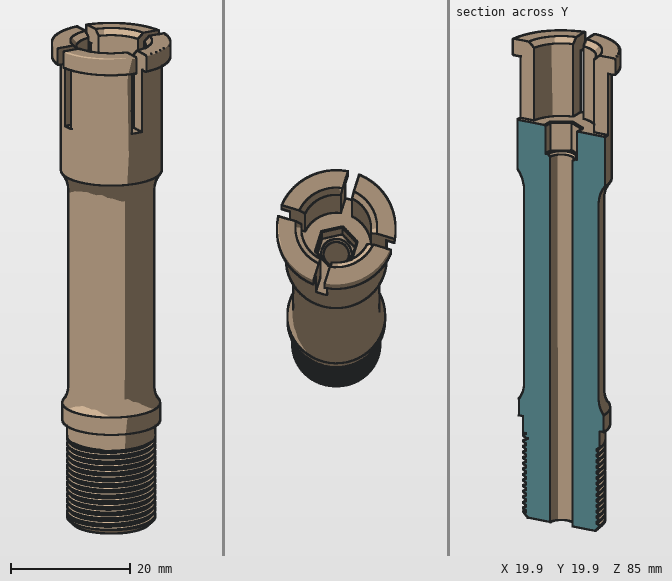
import cadquery as cq
import math

total_length = 85.0
end_chamfer = 0.9
thread_bottom = end_chamfer
thread_top = 15.05
collar_bottom = 18.0
collar_top = 21.1
lower_blend_top = 23.8
upper_blend_bottom = 58.8
barrel_bottom = 62.1
head_thickness = 3.0
head_bottom = total_length - head_thickness

thread_diameter = 14.9
collar_diameter = 16.5
shaft_diameter = 14.5
barrel_diameter = 17.0
head_diameter = 20.0
head_edge_radius = 0.3

thread_turns = 15
thread_pitch = thread_top / thread_turns
core_diameter = 13.8
groove_mouth = thread_pitch * 7 / 8
groove_root = thread_pitch / 4
groove_start_angle = -45.0

bore_diameter = 11.7
bore_mouth_diameter = 13.8
bore_taper_depth = 0.9
bore_depth = 13.9
slot_width = 1.95

socket_across_flats = 6.0
socket_chamfer = 0.2
socket_depth = 5.1
hole_diameter = 4.25
countersink_diameter = 5.1


def tangent_blend_midpoint(shaft_radius, outer_radius, tangent_z, outer_z):
    """Middle (r, z) of a concave arc tangent to the shaft and ending at (outer_radius, outer_z)."""
    rise = outer_radius - shaft_radius
    run = outer_z - tangent_z
    arc_radius = (rise**2 + run**2) / (2 * rise)
    half_angle = math.asin(run / arc_radius) / 2
    return (
        shaft_radius + arc_radius * (1 - math.cos(half_angle)),
        tangent_z + arc_radius * math.sin(half_angle),
    )


def make_body():
    """Solid of revolution: threaded end, collar, shaft, barrel and head."""
    thread_radius = thread_diameter / 2
    collar_radius = collar_diameter / 2
    shaft_radius = shaft_diameter / 2
    barrel_radius = barrel_diameter / 2
    head_radius = head_diameter / 2
    lower_middle = tangent_blend_midpoint(shaft_radius, collar_radius, lower_blend_top, collar_top)
    upper_middle = tangent_blend_midpoint(shaft_radius, barrel_radius, upper_blend_bottom, barrel_bottom)
    return (
        cq.Workplane("XZ")
        .moveTo(0, 0)
        .lineTo(thread_radius - end_chamfer, 0)
        .lineTo(thread_radius, end_chamfer)
        .lineTo(thread_radius, collar_bottom)
        .lineTo(collar_radius, collar_bottom)
        .lineTo(collar_radius, collar_top)
        .threePointArc(lower_middle, (shaft_radius, lower_blend_top))
        .lineTo(shaft_radius, upper_blend_bottom)
        .threePointArc(upper_middle, (barrel_radius, barrel_bottom))
        .lineTo(barrel_radius, head_bottom)
        .lineTo(head_radius - head_edge_radius, head_bottom)
        .radiusArc((head_radius, head_bottom + head_edge_radius), -head_edge_radius)
        .lineTo(head_radius, total_length - head_edge_radius)
        .radiusArc((head_radius - head_edge_radius, total_length), -head_edge_radius)
        .lineTo(0, total_length)
        .close()
        .revolve(360, (0, 0, 0), (0, 1, 0))
    )


def make_thread_groove():
    """Right-handed helical V groove with a flat root, trimmed square at both ends of the thread."""
    crest_radius = thread_diameter / 2
    root_radius = core_diameter / 2
    overshoot = 0.1
    flank_slope = (groove_mouth - groove_root) / (crest_radius - root_radius)
    outer_width = groove_mouth + flank_slope * overshoot
    overrun = 1.5 * thread_pitch
    start_z = thread_bottom - overrun
    helix_height = thread_top - thread_bottom + 2 * overrun
    helix = cq.Wire.makeHelix(thread_pitch, helix_height, root_radius, cq.Vector(0, 0, start_z))
    groove = (
        cq.Workplane("XZ")
        .moveTo(root_radius, start_z - groove_root / 2)
        .lineTo(crest_radius + overshoot, start_z - outer_width / 2)
        .lineTo(crest_radius + overshoot, start_z + outer_width / 2)
        .lineTo(root_radius, start_z + groove_root / 2)
        .close()
        .sweep(cq.Workplane(obj=helix), isFrenet=True)
        .rotate((0, 0, 0), (0, 0, 1), groove_start_angle)
    )
    thread_zone = (
        cq.Workplane("XY", origin=(0, 0, thread_bottom))
        .circle(thread_diameter)
        .extrude(thread_top - thread_bottom)
    )
    return groove.intersect(thread_zone)


def make_bore():
    """Blind collet bore with a tapered mouth."""
    bore_radius = bore_diameter / 2
    return (
        cq.Workplane("XZ")
        .moveTo(0, total_length - bore_depth)
        .lineTo(bore_radius, total_length - bore_depth)
        .lineTo(bore_radius, total_length - bore_taper_depth)
        .lineTo(bore_mouth_diameter / 2, total_length)
        .lineTo(0, total_length)
        .close()
        .revolve(360, (0, 0, 0), (0, 1, 0))
    )


def make_slots():
    """Two crossing slots that split the head and barrel into four jaws."""
    slot_length = 2 * head_diameter
    slot = (
        cq.Workplane("XY", origin=(0, 0, total_length - bore_depth))
        .rect(slot_length, slot_width)
        .extrude(bore_depth)
    )
    return slot.union(slot.rotate((0, 0, 0), (0, 0, 1), 90))


def make_socket_and_hole():
    """Chamfered hexagonal socket in the bore floor, then a countersunk hole through to the threaded end."""
    bore_floor = total_length - bore_depth
    socket_floor = bore_floor - socket_depth
    corner_ratio = 1 / math.cos(math.pi / 6)
    mouth_across_flats = socket_across_flats + 2 * socket_chamfer
    socket_mouth = (
        cq.Workplane("XY", origin=(0, 0, bore_floor))
        .polygon(6, mouth_across_flats * corner_ratio)
        .extrude(-socket_chamfer, taper=45)
    )
    socket = (
        cq.Workplane("XY", origin=(0, 0, socket_floor))
        .polygon(6, socket_across_flats * corner_ratio)
        .extrude(socket_depth)
        .union(socket_mouth)
        .rotate((0, 0, 0), (0, 0, 1), 30)
    )
    hole_radius = hole_diameter / 2
    countersink_radius = countersink_diameter / 2
    hole = (
        cq.Workplane("XZ")
        .lineTo(hole_radius, 0)
        .lineTo(hole_radius, socket_floor - (countersink_radius - hole_radius))
        .lineTo(countersink_radius, socket_floor)
        .lineTo(0, socket_floor)
        .close()
        .revolve(360, (0, 0, 0), (0, 1, 0))
    )
    return socket.union(hole)


result = (
    make_body()
    .cut(make_bore())
    .cut(make_slots())
    .cut(make_socket_and_hole())
    .cut(make_thread_groove())
)